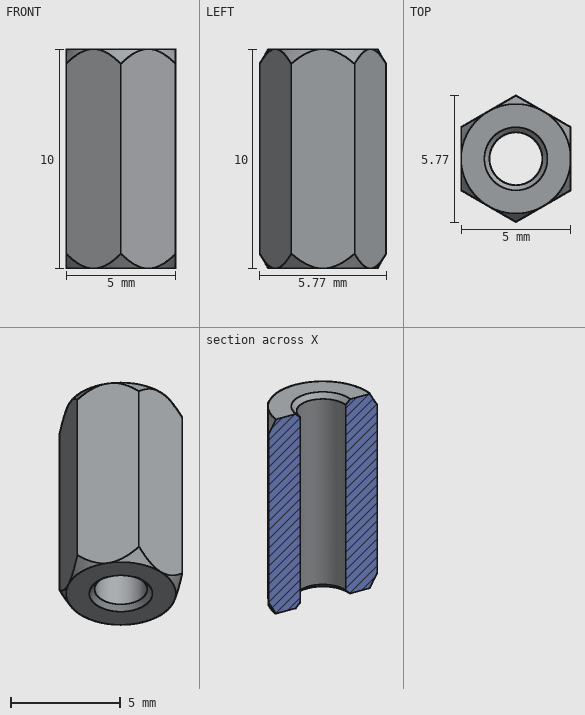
import cadquery as cq
import math

length = 10.0
across_flats = 5.0
bore_diameter = 2.4
countersink_diameter = 2.88
countersink_angle = 90.0
corner_chamfer_slope = 60.0

across_corners = across_flats / math.cos(math.radians(30))
end_face_radius = across_flats / 2
corner_radius = across_corners / 2
corner_drop = (corner_radius - end_face_radius) * math.tan(math.radians(corner_chamfer_slope))
bore_radius = bore_diameter / 2
countersink_radius = countersink_diameter / 2
countersink_depth = (countersink_radius - bore_radius) / math.tan(math.radians(countersink_angle / 2))


def hex_body():
    """Hexagonal bar along Z with corners on the Y axis."""
    return cq.Workplane("XY").polygon(6, across_corners).extrude(length).rotate((0, 0, 0), (0, 0, 1), 90)


def corner_envelope():
    """Cylinder with conical ends that trims the hexagon corners."""
    profile = [
        (0, 0),
        (end_face_radius, 0),
        (corner_radius, corner_drop),
        (corner_radius, length - corner_drop),
        (end_face_radius, length),
        (0, length),
    ]
    return cq.Workplane("XZ").polyline(profile).close().revolve(360, (0, 0), (0, 1))


def countersunk_bore():
    """Through bore with a conical entry at each end."""
    profile = [
        (0, 0),
        (countersink_radius, 0),
        (bore_radius, countersink_depth),
        (bore_radius, length - countersink_depth),
        (countersink_radius, length),
        (0, length),
    ]
    return cq.Workplane("XZ").polyline(profile).close().revolve(360, (0, 0), (0, 1))


result = hex_body().intersect(corner_envelope()).cut(countersunk_bore())